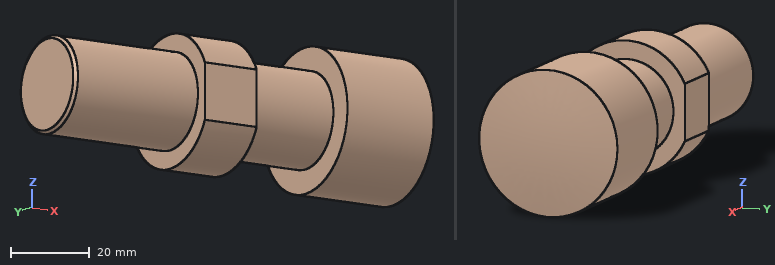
import cadquery as cq
import math

total_length = 107.8
shaft_diameter = 25.4
shaft_chamfer = 0.9
head_diameter = 38.2
head_start = 79.5
dome_height = 1.6
collar_diameter = 35.0
collar_start = 37.8
collar_length = 16.0
collar_across_flats = 31.7


def make_shaft():
    """Plain round shaft with a chamfered free end, reaching into the head."""
    shaft = cq.Workplane("YZ").circle(shaft_diameter / 2).extrude(head_start)
    return shaft.faces("<X").chamfer(shaft_chamfer)


def make_collar():
    """Round collar with two parallel flats facing -Y and +Y."""
    collar = cq.Workplane("YZ").circle(collar_diameter / 2).extrude(collar_length)
    flats = cq.Workplane("YZ").rect(collar_across_flats, collar_diameter).extrude(collar_length)
    return collar.intersect(flats).translate((collar_start, 0, 0))


def make_head():
    """Cylindrical head with a shallow spherical end."""
    head_radius = head_diameter / 2
    dome_radius = (head_radius**2 + dome_height**2) / (2 * dome_height)
    dome_centre = total_length - dome_radius
    half_radius = head_radius / 2
    dome_middle = dome_centre + math.sqrt(dome_radius**2 - half_radius**2)
    profile = (
        cq.Workplane("XY")
        .moveTo(head_start, 0)
        .lineTo(head_start, head_radius)
        .lineTo(total_length - dome_height, head_radius)
        .threePointArc((dome_middle, half_radius), (total_length, 0))
        .close()
    )
    return profile.revolve(360, (0, 0, 0), (1, 0, 0))


result = make_shaft().union(make_collar()).union(make_head())